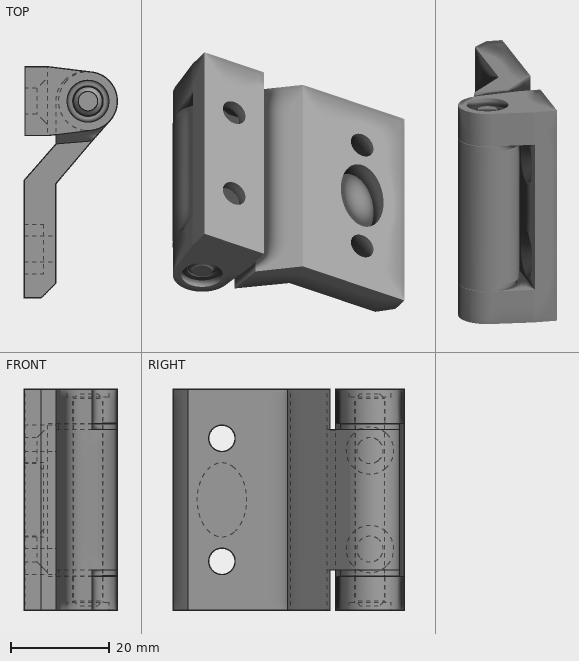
import cadquery as cq
import math


HINGE_HEIGHT = 45.0
HINGE_DEPTH = 19.0
HINGE_WIDTH = 47

PIN_DIAMETER = 5.9
PIN_CHAMFER = 1.0
PIN_RISE = 0.65
COUNTERBORE_DIAMETER = 8.5
COUNTERBORE_DEPTH = 1.6
BLOCK_BORE_DIAMETER = 6.2
INNER_BORE_DIAMETER = 6.0

LEAF_KNUCKLE_HEIGHT = 28.55
WASHER_DIAMETER = 12.0
WASHER_THICKNESS = 1.18
WASHER_GAP = 0.1
SLOT_HEIGHT = LEAF_KNUCKLE_HEIGHT + 2 * (WASHER_THICKNESS + WASHER_GAP)

BLOCK_BACK_X = -12.85
BLOCK_HALF_WIDTH = 7.0
BLOCK_NOSE_RADIUS = 5.95
TAPER_START_X = -8.0
SLOT_WALL_X = -8.2
BLOCK_HOLE_SPACING = 20.03
HOLE_DIAMETER = 5.3
BLOCK_HOLE_STRAIGHT_DEPTH = 2.5

LEAF_KNUCKLE_RADIUS = WASHER_DIAMETER / 2
LEAF_BACK_X = LEAF_KNUCKLE_RADIUS - HINGE_DEPTH
LEAF_THICKNESS = 6.5
LEAF_FRONT_X = LEAF_BACK_X + LEAF_THICKNESS
LEAF_END_Y = BLOCK_HALF_WIDTH - HINGE_WIDTH
LEAF_END_CHAMFER = 3.0
BACK_BEND_Y = -16.12
FRONT_BEND_Y = -16.8
ARM_END_Y = -8.7
ARM_TIP = (0.85, -8.1)
LEAF_HOLE_SPACING = 25.0
LEAF_HOLE_Y = -30.1
RECESS_WIDTH = 10.05
RECESS_HEIGHT = 15.1
RECESS_DEPTH = 4.0


def on_circle(radius, angle):
    return radius * math.cos(angle), radius * math.sin(angle)


def tangent_angle(point, radius, side):
    """Polar angle where a line from the point touches a circle about the origin."""
    distance = math.hypot(*point)
    return math.atan2(point[1], point[0]) + side * math.acos(radius / distance)


def extrude_centred(sketch, height):
    return sketch.extrude(height / 2, both=True)


def z_cylinder(diameter, height, bottom_z):
    return cq.Workplane("XY", origin=(0, 0, bottom_z)).circle(diameter / 2).extrude(height)


def x_holes(diameter, depth, start_x, y, spacing):
    """Two cylinders along +X, spaced evenly about Z = 0."""
    centres = [(y, -spacing / 2), (y, spacing / 2)]
    plane = cq.Workplane("YZ", origin=(start_x, 0, 0))
    return plane.pushPoints(centres).circle(diameter / 2).extrude(depth)


def make_block():
    taper_start = (TAPER_START_X, BLOCK_HALF_WIDTH)
    touch_angle = tangent_angle(taper_start, BLOCK_NOSE_RADIUS, -1)
    touch_x, touch_y = on_circle(BLOCK_NOSE_RADIUS, touch_angle)
    outline = (
        cq.Workplane("XY")
        .moveTo(BLOCK_BACK_X, -BLOCK_HALF_WIDTH)
        .lineTo(TAPER_START_X, -BLOCK_HALF_WIDTH)
        .lineTo(touch_x, -touch_y)
        .threePointArc((BLOCK_NOSE_RADIUS, 0), (touch_x, touch_y))
        .lineTo(*taper_start)
        .lineTo(BLOCK_BACK_X, BLOCK_HALF_WIDTH)
        .close()
    )
    block = extrude_centred(outline, HINGE_HEIGHT)

    slot_length = BLOCK_NOSE_RADIUS - SLOT_WALL_X
    slot = cq.Workplane("XY").box(
        slot_length, 2 * BLOCK_HALF_WIDTH, SLOT_HEIGHT, centered=(False, True, True)
    )
    block = block.cut(slot.translate((SLOT_WALL_X, 0, 0)))

    block = block.cut(z_cylinder(BLOCK_BORE_DIAMETER, HINGE_HEIGHT, -HINGE_HEIGHT / 2))
    for bottom_z in (-HINGE_HEIGHT / 2, HINGE_HEIGHT / 2 - COUNTERBORE_DEPTH):
        block = block.cut(z_cylinder(COUNTERBORE_DIAMETER, COUNTERBORE_DEPTH, bottom_z))

    wall = SLOT_WALL_X - BLOCK_BACK_X
    block = block.cut(x_holes(HOLE_DIAMETER, wall, BLOCK_BACK_X, 0, BLOCK_HOLE_SPACING))
    sink_depth = wall - BLOCK_HOLE_STRAIGHT_DEPTH
    sink_radius = HOLE_DIAMETER / 2 + sink_depth
    for z in (-BLOCK_HOLE_SPACING / 2, BLOCK_HOLE_SPACING / 2):
        sink = cq.Solid.makeCone(
            sink_radius, HOLE_DIAMETER / 2, sink_depth, cq.Vector(SLOT_WALL_X, 0, z), cq.Vector(-1, 0, 0)
        )
        block = block.cut(cq.Workplane(sink))
    return block


def make_leaf():
    arm_end = (LEAF_FRONT_X, ARM_END_Y)

    plate_outline = (
        cq.Workplane("XY")
        .moveTo(LEAF_BACK_X, LEAF_END_Y)
        .lineTo(LEAF_FRONT_X - LEAF_END_CHAMFER, LEAF_END_Y)
        .lineTo(LEAF_FRONT_X, LEAF_END_Y + LEAF_END_CHAMFER)
        .lineTo(LEAF_FRONT_X, FRONT_BEND_Y)
        .lineTo(*ARM_TIP)
        .lineTo(*arm_end)
        .lineTo(LEAF_BACK_X, BACK_BEND_Y)
        .close()
    )
    plate = extrude_centred(plate_outline, HINGE_HEIGHT)

    touch_angle = tangent_angle(ARM_TIP, LEAF_KNUCKLE_RADIUS, 1)
    corner_x = LEAF_FRONT_X + LEAF_KNUCKLE_RADIUS
    corner_mid_x, corner_mid_y = on_circle(LEAF_KNUCKLE_RADIUS, math.radians(135))
    knuckle_outline = (
        cq.Workplane("XY")
        .moveTo(*arm_end)
        .lineTo(*ARM_TIP)
        .lineTo(*on_circle(LEAF_KNUCKLE_RADIUS, touch_angle))
        .threePointArc((LEAF_KNUCKLE_RADIUS, 0), (0, LEAF_KNUCKLE_RADIUS))
        .lineTo(corner_x, LEAF_KNUCKLE_RADIUS)
        .threePointArc((corner_x + corner_mid_x, corner_mid_y), (LEAF_FRONT_X, 0))
        .close()
    )
    leaf = plate.union(extrude_centred(knuckle_outline, LEAF_KNUCKLE_HEIGHT))
    leaf = leaf.cut(z_cylinder(INNER_BORE_DIAMETER, LEAF_KNUCKLE_HEIGHT, -LEAF_KNUCKLE_HEIGHT / 2))

    leaf = leaf.cut(x_holes(HOLE_DIAMETER, LEAF_THICKNESS, LEAF_BACK_X, LEAF_HOLE_Y, LEAF_HOLE_SPACING))

    recess = (
        cq.Workplane("YZ", origin=(LEAF_BACK_X, LEAF_HOLE_Y, 0))
        .ellipse(RECESS_WIDTH / 2, RECESS_HEIGHT / 2)
        .extrude(RECESS_DEPTH)
    )
    return leaf.cut(recess)


def make_washer(bottom_z):
    disc = z_cylinder(WASHER_DIAMETER, WASHER_THICKNESS, bottom_z)
    return disc.cut(z_cylinder(INNER_BORE_DIAMETER, WASHER_THICKNESS, bottom_z))


def make_pin():
    length = HINGE_HEIGHT - 2 * (COUNTERBORE_DEPTH - PIN_RISE)
    return z_cylinder(PIN_DIAMETER, length, -length / 2).faces("<Z or >Z").chamfer(PIN_CHAMFER)


block = make_block()
leaf = make_leaf()
pin = make_pin()
washer_bottoms = (-LEAF_KNUCKLE_HEIGHT / 2 - WASHER_THICKNESS, LEAF_KNUCKLE_HEIGHT / 2)
washers = [make_washer(bottom_z) for bottom_z in washer_bottoms]

result = cq.Compound.makeCompound(
    [block.val(), leaf.val(), pin.val(), *[washer.val() for washer in washers]]
)